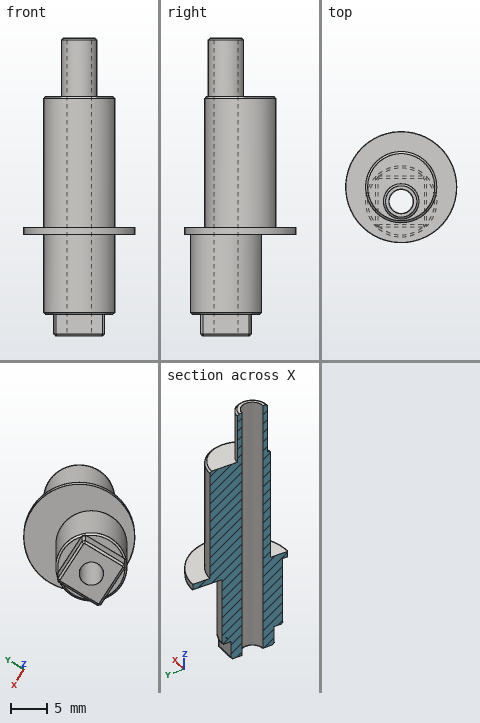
import cadquery as cq

offset_y = -1.95
flange_diameter = 15.3
body_diameter = 9.8
pin_diameter = 4.88
bore_diameter = 3.32
square_side = 7.0
rim_chamfer = 0.3
square_chamfer = 0.33

total_height = 41.0
square_height = 3.0
lower_height = 11.0
flange_height = 1.0
body_height = 18.0

lower_bottom = square_height
flange_bottom = lower_bottom + lower_height
body_bottom = flange_bottom + flange_height
pin_bottom = body_bottom + body_height
pin_height = total_height - pin_bottom


def cylinder(diameter, height, bottom, center_y=0):
    """Return an upright cylinder standing at the given height."""
    return cq.Workplane("XY", origin=(0, center_y, bottom)).circle(diameter / 2).extrude(height)


square = (
    cq.Workplane("XY", origin=(0, offset_y, 0))
    .rect(square_side, square_side)
    .extrude(square_height)
    .edges("|Z").chamfer(square_chamfer)
    .faces("<Z").edges().chamfer(square_chamfer)
)

lower = cylinder(body_diameter, lower_height, lower_bottom, offset_y).faces("<Z").chamfer(rim_chamfer)
flange = cylinder(flange_diameter, flange_height, flange_bottom)
body = cylinder(body_diameter, body_height, body_bottom).faces(">Z").chamfer(rim_chamfer)
pin = cylinder(pin_diameter, pin_height, pin_bottom, offset_y).faces(">Z").chamfer(rim_chamfer)

bore = cylinder(bore_diameter, total_height, 0, offset_y)

result = square.union(lower).union(flange).union(body).union(pin).cut(bore)